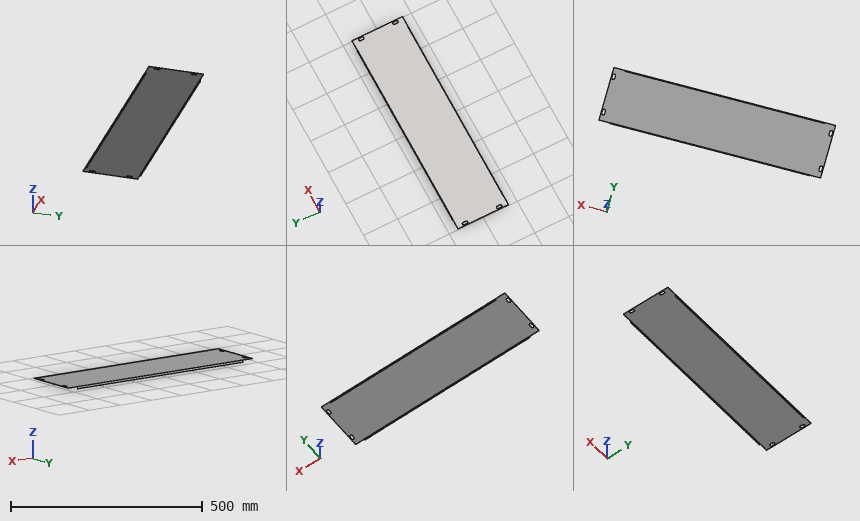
import cadquery as cq

length = 600.0
width = 149.0
height = 6.5
thickness = 1.0

flange_end_gap = 30.0
flange_length = length - 2 * flange_end_gap

slot_length = 15.0
slot_width = 7.0
slot_spacing_x = 587.5
slot_spacing_y = 100.0


def make_panel():
    return cq.Workplane("XY").box(length, width, thickness, centered=(True, True, False))


def make_flange(side):
    """Flange flush with the panel's long edge; side is -1 or +1 along Y."""
    center_y = side * (width - thickness) / 2
    return (
        cq.Workplane("XY")
        .workplane(offset=thickness - height)
        .center(0, center_y)
        .box(flange_length, thickness, height, centered=(True, True, False))
    )


def make_slots():
    return (
        cq.Workplane("XY")
        .rarray(slot_spacing_x, slot_spacing_y, 2, 2)
        .slot2D(slot_length, slot_width, angle=90)
        .extrude(thickness)
    )


result = make_panel()
for side in (-1, 1):
    result = result.union(make_flange(side))
result = result.cut(make_slots())